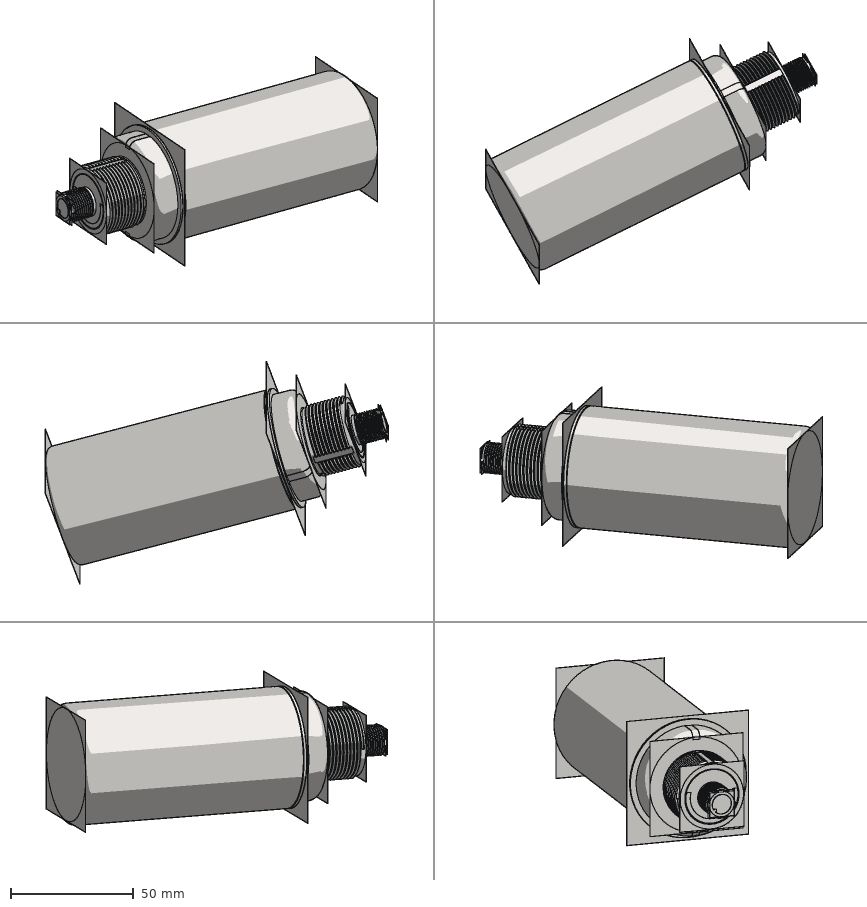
import cadquery as cq
import math

total_length = 137.5
collar_start = 11.0
nipple_end = 12.2
shoulder_end = 31.2
body_end = 41.3

body_radius = 25.0
shoulder_radius = 22.5
nipple_root_radius = 14.0
nipple_crest_radius = 14.9
connector_root_radius = 5.8
connector_crest_radius = 6.3
collar_radius = 6.2

rear_round = 2.5
shoulder_round = 3.5
nipple_round = 0.8
tip_chamfer = 0.5
nipple_foot = 0.4

nipple_pitch = 1.5
nipple_thread_start = 13.8
nipple_thread_end = 29.8
nipple_start_angle = 180
connector_pitch = 1.0
connector_thread_start = 1.2
connector_thread_end = 10.9
thread_embed = 0.1
ridge_fill = 0.9

sheet_thickness = 0.1
flange_side = 52.5
flange_y = 42.1
rear_sheet_side = 46.8
shoulder_sheet_side = 40.3
nipple_sheet_side = 27.8
connector_sheet_side = 11.3
connector_sheet_y = 0.8
tip_sheet_side = 10.5

strip_width = 3.0
nipple_flat_height = 13.9
nipple_flat_margin = 1.2

mark_depth = 0.1
mark_width = 0.3
barrel_groove_y = 43.3
face_ring_radius = 11.7
arc_inner_radius = 9.4
arc_outer_radius = 11.3
arc_top = 2.6
tip_recess_radius = 4.1
tip_recess_depth = 0.3
tip_key_radius = 0.7
tip_key_distance = 3.9
tip_key_angle = 220


def cylinder(radius, start, end):
    """Cylinder on the Y axis between two Y positions."""
    return cq.Workplane("XZ", origin=(0, start, 0)).circle(radius).extrude(start - end)


def ring(outer_radius, inner_radius, start, end):
    """Tube on the Y axis between two Y positions."""
    return cylinder(outer_radius, start, end).cut(cylinder(inner_radius, start, end))


def sheet(side, start):
    """Thin square plate across the Y axis."""
    return cq.Workplane("XZ", origin=(0, start, 0)).rect(side, side).extrude(-sheet_thickness)


def strip_blocks(inner_height, start, end):
    """Pair of blocks, above and below the axis, that cover everything beyond inner_height."""
    block_height = body_radius - inner_height
    middle = (0, (start + end) / 2)
    upper = (
        cq.Workplane("XY", origin=(0, 0, inner_height))
        .center(*middle)
        .rect(strip_width, end - start)
        .extrude(block_height)
    )
    return upper.union(upper.mirror("XY"))


def thread_ridge(root_radius, crest_radius, pitch, start, end, start_angle=0):
    """Triangular right-hand ridge wound round the Y axis."""
    base_radius = root_radius - thread_embed
    half_base = ridge_fill * pitch / 2
    path = cq.Workplane(cq.Wire.makeHelix(pitch, end - start, base_radius))
    profile = (
        cq.Workplane("XZ")
        .moveTo(base_radius, -half_base)
        .lineTo(crest_radius, 0)
        .lineTo(base_radius, half_base)
        .close()
    )
    ridge = profile.sweep(path, isFrenet=True).rotate((0, 0, 0), (0, 0, 1), start_angle)
    return ridge.rotate((0, 0, 0), (1, 0, 0), -90).translate((0, start, 0))


def make_barrel():
    barrel = cylinder(body_radius, body_end, total_length).faces(">Y").edges().fillet(rear_round)
    groove = ring(
        body_radius, body_radius - mark_depth, barrel_groove_y, barrel_groove_y + mark_width
    )
    return barrel.cut(groove)


def rounded_shoulder(inset):
    """Shoulder with its rounded front edge, shrunk inwards by inset."""
    blank = cylinder(shoulder_radius - inset, shoulder_end + inset, body_end)
    return blank.faces("<Y").edges().fillet(shoulder_round - inset)


def make_shoulder():
    """Shoulder whose top and bottom strips lie one mark depth below its surface."""
    face_radius = shoulder_radius - shoulder_round
    strips = strip_blocks(face_radius, shoulder_end, body_end)
    return rounded_shoulder(0).cut(strips).union(rounded_shoulder(mark_depth))


def make_nipple():
    nipple = cylinder(nipple_root_radius, nipple_end, shoulder_end)
    nipple = nipple.faces("<Y").edges().fillet(nipple_round)
    nipple = nipple.union(thread_ridge(
        nipple_root_radius, nipple_crest_radius, nipple_pitch,
        nipple_thread_start, nipple_thread_end, nipple_start_angle,
    ))
    flats = strip_blocks(
        nipple_flat_height, nipple_end + nipple_flat_margin, shoulder_end - nipple_flat_margin
    )
    foot = cq.Solid.makeCone(
        nipple_root_radius, nipple_root_radius + nipple_foot, nipple_foot,
        cq.Vector(0, shoulder_end - nipple_foot, 0), cq.Vector(0, 1, 0),
    )
    return nipple.cut(flats).union(cq.Workplane(foot))


def make_connector():
    connector = cylinder(connector_root_radius, 0, nipple_end).faces("<Y").edges().chamfer(tip_chamfer)
    ridge = thread_ridge(
        connector_root_radius, connector_crest_radius, connector_pitch,
        connector_thread_start, connector_thread_end,
    )
    return connector.union(ridge).union(cylinder(collar_radius, collar_start, nipple_end))


def nipple_face_marks():
    """Ring groove and part-ring recess in the end face of the nipple."""
    floor_y = nipple_end + mark_depth
    groove = ring(face_ring_radius, face_ring_radius - mark_width, nipple_end, floor_y)
    above_arc = (
        cq.Workplane("XY", origin=(0, nipple_end, arc_top))
        .rect(2 * body_radius, 2 * body_radius)
        .extrude(body_radius)
    )
    arc = ring(arc_outer_radius, arc_inner_radius, nipple_end, floor_y).cut(above_arc)
    return groove.union(arc)


def tip_recess():
    """Round recess in the tip, with a small key left standing at its edge."""
    angle = math.radians(tip_key_angle)
    key = cylinder(tip_key_radius, 0, tip_recess_depth).translate(
        (tip_key_distance * math.cos(angle), 0, tip_key_distance * math.sin(angle))
    )
    return cylinder(tip_recess_radius, 0, tip_recess_depth).cut(key)


result = make_barrel().union(make_shoulder()).union(make_nipple()).union(make_connector())

sheets = (
    (rear_sheet_side, total_length - sheet_thickness),
    (flange_side, flange_y),
    (shoulder_sheet_side, shoulder_end),
    (nipple_sheet_side, nipple_end),
    (connector_sheet_side, connector_sheet_y),
    (tip_sheet_side, 0),
)
for side, start in sheets:
    result = result.union(sheet(side, start))

result = result.cut(nipple_face_marks()).cut(tip_recess())